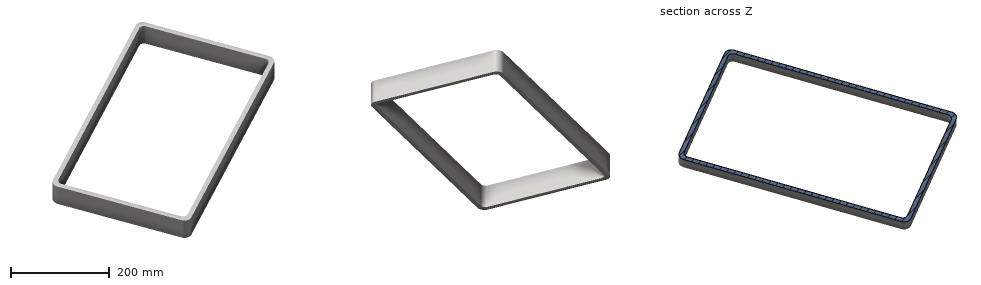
import cadquery as cq

WIDTH = 300.0
LENGTH = 500.0
HEIGHT = 50.0

WALL = 10.0
OUTER_RADIUS = 15.0
INNER_RADIUS = 10.0


def rounded_block(width, length, corner_radius):
    """Full-height block with rounded vertical corners, centred on the origin."""
    block = cq.Workplane("XY").box(width, length, HEIGHT)
    return block.edges("|Z").fillet(corner_radius)


outer = rounded_block(WIDTH, LENGTH, OUTER_RADIUS)
opening = rounded_block(WIDTH - 2 * WALL, LENGTH - 2 * WALL, INNER_RADIUS)

result = outer.cut(opening)